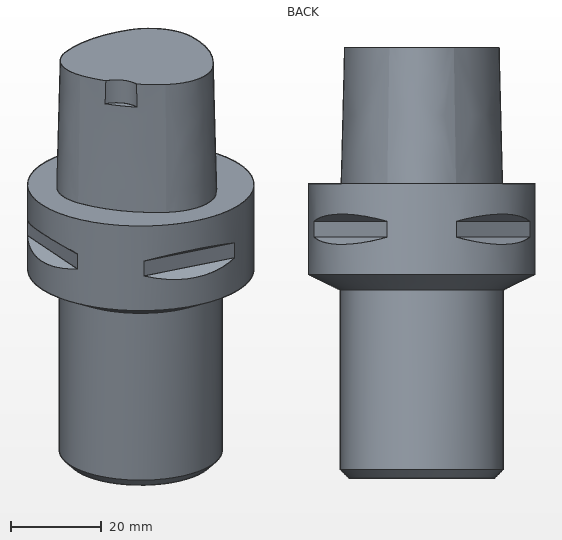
import cadquery as cq
import math

total_height = 95.0
taper_length = 30.0
flange_height = 20.0
cone_height = 3.4
flange_top = total_height - taper_length
flange_bottom = flange_top - flange_height
shank_top = flange_bottom - cone_height

flange_radius = 50.0 / 2
shank_radius = 36.0 / 2
shank_chamfer = 2.0

lobe_count = 3
lobe_pitch = 360 / lobe_count
lobe_radius = 12.0
lobe_center_distance = 6.7
side_center_distance = 12.1
taper_angle = math.degrees(math.atan(1 / 40))

groove_count = 4
groove_start_angle = 45
groove_floor_radius = 22.2
groove_floor_height = 3.5
groove_wall_angle = 30
groove_center = 54.9

notch_radius = 5.2
notch_inner_y = -14.1
notch_depth = 5.4


def polar(radius, angle):
    """Point at a radius and an angle in degrees from +X."""
    return radius * math.cos(math.radians(angle)), radius * math.sin(math.radians(angle))


def make_body():
    """Shank, cone and flange turned about Z."""
    return (
        cq.Workplane("XZ")
        .moveTo(0, 0)
        .lineTo(shank_radius - shank_chamfer, 0)
        .lineTo(shank_radius, shank_chamfer)
        .lineTo(shank_radius, shank_top)
        .lineTo(flange_radius, flange_bottom)
        .lineTo(flange_radius, flange_top)
        .lineTo(0, flange_top)
        .close()
        .revolve(360, (0, 0), (0, 1))
    )


def make_taper():
    """Lobed outline drawn at the flange face and drafted inward up to the top."""
    lobe_x, lobe_y = polar(lobe_center_distance, 180 - lobe_pitch / 2)
    axial_offset = side_center_distance - lobe_x
    center_spacing = math.hypot(axial_offset, lobe_y)
    side_radius = center_spacing + lobe_radius
    side_half_angle = math.degrees(math.asin(lobe_y / center_spacing))

    tangent_x, tangent_y = polar(side_radius, 180 - side_half_angle)
    tangent_x += side_center_distance
    tangent_radius = math.hypot(tangent_x, tangent_y)
    side_span = 180 - math.degrees(math.atan2(tangent_y, tangent_x))
    lobe_span = lobe_pitch / 2 - side_span
    lobe_tip = lobe_center_distance + lobe_radius
    side_middle = side_radius - side_center_distance

    first_lobe_angle = 90
    outline = cq.Workplane("XY", origin=(0, 0, flange_top)).moveTo(
        *polar(tangent_radius, first_lobe_angle - lobe_span)
    )
    for index in range(lobe_count):
        lobe_angle = first_lobe_angle + index * lobe_pitch
        side_angle = lobe_angle + lobe_pitch / 2
        outline = outline.threePointArc(
            polar(lobe_tip, lobe_angle), polar(tangent_radius, lobe_angle + lobe_span)
        ).threePointArc(
            polar(side_middle, side_angle), polar(tangent_radius, side_angle + side_span)
        )
    return outline.close().extrude(taper_length, taper=taper_angle)


def make_groove(angle):
    """Straight groove with a flat floor and walls that flare outward."""
    rise = (flange_radius - groove_floor_radius) * math.tan(math.radians(groove_wall_angle))
    floor_half = groove_floor_height / 2
    mouth_half = floor_half + rise
    return (
        cq.Workplane("XZ")
        .polyline([
            (groove_floor_radius, groove_center - floor_half),
            (flange_radius, groove_center - mouth_half),
            (flange_radius, groove_center + mouth_half),
            (groove_floor_radius, groove_center + floor_half),
        ])
        .close()
        .extrude(flange_radius, both=True)
        .rotate((0, 0, 0), (0, 0, 1), angle)
    )


def make_notch():
    """Upright cylinder that scoops the notch down from the top face."""
    return (
        cq.Workplane("XY", origin=(0, notch_inner_y - notch_radius, total_height - notch_depth))
        .circle(notch_radius)
        .extrude(notch_depth)
    )


result = make_body().union(make_taper()).cut(make_notch())
for groove_index in range(groove_count):
    result = result.cut(make_groove(groove_start_angle + groove_index * 360 / groove_count))